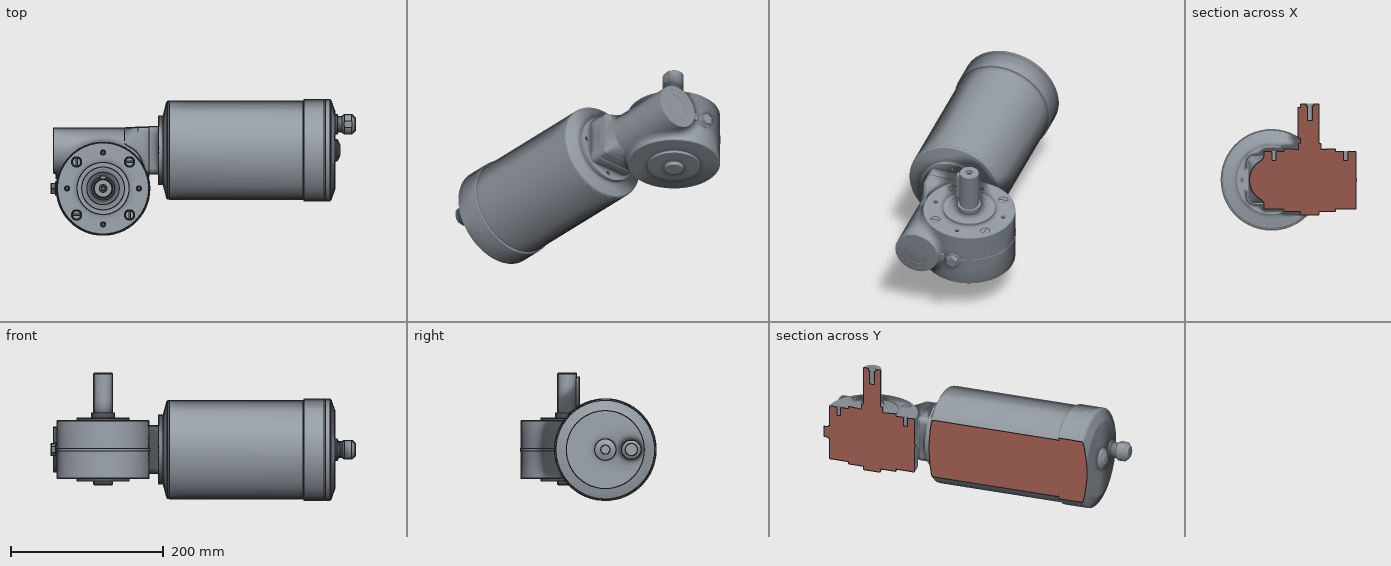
import cadquery as cq
import math

MOTOR_Y = 50.0

HOUSING_RADIUS = 60.4
HOUSING_TOP = 38.0
HOUSING_CHAMFER = 0.8
SEAM_RADIUS = 61.22
SEAM_HALF_HEIGHT = 1.75
REGISTER_RADIUS = 34.0
REGISTER_TOP = 41.2
RING_RADIUS = 28.0
SEAL_RADIUS = 42.5 / 2
RECESS_STEP = 0.5

SCREW_CIRCLE_RADIUS = 49.0
SCREW_RECESS_DIAMETER = 13.4
SCREW_HEAD_DIAMETER = 11.0
SCREW_RECESS_DEPTH = 2.5
SCREW_HEAD_DROP = 0.5
SCREW_SLOT_WIDTH = 2.0
SCREW_SLOT_DEPTH = 1.5
TAP_CIRCLE_RADIUS = 47.0
TAP_MOUTH_DIAMETER = 6.65
TAP_MOUTH_DEPTH = 1.0
TAP_DIAMETER = 4.92
TAP_DEPTH = 12.0

SHAFT_RADIUS = 25 / 2
SHAFT_TOP = 100.0
SHAFT_BOTTOM = -46.0
SHAFT_CHAMFER = 1.0
COLLAR_RADIUS = 15.0
COLLAR_TOP = 48.0
CENTRE_MOUTH_DIAMETER = 10.0
CENTRE_MOUTH_DEPTH = 3.0
CENTRE_PILOT_DIAMETER = 6.0
CENTRE_PILOT_DEPTH = 22.0
KEY_WIDTH = 8.0
KEY_BOTTOM = 55.0
KEY_LENGTH = 40.0
KEY_OUTER_Y = 16.0
KEY_ROOT_Y = 8.5

TUBE_START = -65.0
TUBE_RADIUS = 29.3
TUBE_FILLET = 8.0
PLUG_RADIUS = 24.0
PLUG_INNER_RADIUS = 17.0
NECK_LOFT_START = 28.0
NECK_BLOCK_START = 46.0
NECK_BLOCK_END = 60.0
NECK_WIDTH = 60.5
NECK_CORNER = 5.0
NECK_COLLAR_WIDTH = 62.5
NECK_COLLAR_CORNER = 7.5

FLANGE_START = 72.8
FLANGE_RADIUS = 45.0
FLANGE_HOLE_CIRCLE = 37.5
FLANGE_HOLE_DIAMETER = 6.5
BELL_START = 78.6
BELL_CONE_END = 83.3
BELL_CONE_RADIUS = 62.8
BODY_START = 84.8
BODY_SEAM = 87.0
BODY_RADIUS = 129 / 2
BODY_STEP = 0.4
CAP_START = 263.0
CAP_RADIUS = 66.5
CAP_GAP = 1.5
CAP_EDGE_START = 296.5
CAP_EDGE_END = 298.2
CAP_EDGE_RADIUS = 64.5
CAP_END = 303.0
CAP_END_RADIUS = 51.0
CAP_GROOVE_START = 288.6
CAP_GROOVE_WIDTH = 2.2
CAP_GROOVE_DEPTH = 0.3

GLAND_Y = 84.0
GLAND_BASE_RADIUS = 12.7
GLAND_BASE_END = 306.3
GLAND_NECK_RADIUS = 10.3
GLAND_NECK_END = 312.5
GLAND_NUT_RADIUS = 13.0
GLAND_NUT_START = 316.0
GLAND_NUT_SHOULDER = 325.0
GLAND_END = 330.0
GLAND_END_RADIUS = 8.0
GLAND_ACROSS_FLATS = 24.4
BUTTON_RADIUS = 14.0
BUTTON_RIM = 306.0
BUTTON_END = 310.0
BUTTON_END_RADIUS = 6.0

FILLER_HEAD_END = -68.0
FILLER_ROOT = -30.0
FILLER_ACROSS_FLATS = 13.4
FILLER_COLLAR_DIAMETER = 16.66
FILLER_COLLAR_START = -62.5
FILLER_WASHER_DIAMETER = 18.6
FILLER_WASHER_START = -61.5
RIB_HALF_HEIGHT = 4.5
RIB_START_X = -61.5
RIB_LOW_Y = 13.0
RIB_HIGH_Y = 22.0


def disc(radius, bottom, top):
    return cq.Workplane("XY", origin=(0, 0, bottom)).circle(radius).extrude(top - bottom)


def bar(radius, start, end, y=MOTOR_Y, z=0.0):
    return cq.Workplane("YZ", origin=(start, y, z)).circle(radius).extrude(end - start)


def turned(points, y):
    """Solid turned about the X-parallel axis at y, from (x, radius) points."""
    outline = [(points[0][0], 0)] + points + [(points[-1][0], 0)]
    profile = cq.Workplane("XY").polyline(outline).close()
    return profile.revolve(360, (0, 0, 0), (1, 0, 0)).translate((0, y, 0))


def on_circle(radius, first_angle):
    """Four equally spaced points on a circle."""
    angles = [math.radians(first_angle + 90 * i) for i in range(4)]
    return [(radius * math.cos(a), radius * math.sin(a)) for a in angles]


def make_housing():
    drum = disc(HOUSING_RADIUS, -HOUSING_TOP, HOUSING_TOP)
    clear = 2 * HOUSING_RADIUS
    body = drum.union(bar(TUBE_RADIUS, -clear, clear))
    blend = [edge for edge in body.edges().vals() if edge.geomType() not in ("CIRCLE", "LINE")]
    body = body.newObject(blend).fillet(TUBE_FILLET)
    body = body.faces("<Z or >Z").edges().chamfer(HOUSING_CHAMFER)
    length = NECK_BLOCK_END - TUBE_START
    keep = cq.Workplane("XY").box(length, 2 * clear, 2 * clear).translate((TUBE_START + length / 2, 0, 0))
    body = body.intersect(keep)

    seam = disc(SEAM_RADIUS, -SEAM_HALF_HEIGHT, SEAM_HALF_HEIGHT)
    registers = disc(REGISTER_RADIUS, -REGISTER_TOP, REGISTER_TOP)
    return body.union(seam).union(registers)


def cut_tube_end(body):
    """Sunk end plug with a second, smaller step inside it."""
    body = body.cut(bar(PLUG_RADIUS, TUBE_START, TUBE_START + RECESS_STEP))
    return body.cut(bar(PLUG_INNER_RADIUS, TUBE_START, TUBE_START + 2 * RECESS_STEP))


def cut_seal_recess(body):
    """Stepped seal seat in the top register."""
    body = body.cut(disc(RING_RADIUS, REGISTER_TOP - RECESS_STEP, REGISTER_TOP))
    return body.cut(disc(SEAL_RADIUS, REGISTER_TOP - 2 * RECESS_STEP, REGISTER_TOP))


def cut_cover_details(body):
    """Slotted cover screws and tapped mounting holes in the top face."""
    slot_bottom = HOUSING_TOP - SCREW_HEAD_DROP - SCREW_SLOT_DEPTH
    for index, (x, y) in enumerate(on_circle(SCREW_CIRCLE_RADIUS, 45)):
        gap = (cq.Workplane("XY", origin=(x, y, HOUSING_TOP)).circle(SCREW_RECESS_DIAMETER / 2)
               .circle(SCREW_HEAD_DIAMETER / 2).extrude(-SCREW_RECESS_DEPTH))
        drop = (cq.Workplane("XY", origin=(x, y, HOUSING_TOP)).circle(SCREW_HEAD_DIAMETER / 2)
                .extrude(-SCREW_HEAD_DROP))
        slot = (cq.Workplane("XY", origin=(x, y, slot_bottom)).transformed(rotate=(0, 0, 90 * index))
                .rect(SCREW_HEAD_DIAMETER, SCREW_SLOT_WIDTH).extrude(HOUSING_TOP - slot_bottom))
        body = body.cut(gap).cut(drop).cut(slot)

    top = cq.Workplane("XY", origin=(0, 0, HOUSING_TOP)).pushPoints(on_circle(TAP_CIRCLE_RADIUS, 0))
    body = body.cut(top.circle(TAP_MOUTH_DIAMETER / 2).extrude(-TAP_MOUTH_DEPTH))
    return body.cut(top.circle(TAP_DIAMETER / 2).extrude(-TAP_DEPTH))


def make_shaft():
    shaft = disc(SHAFT_RADIUS, SHAFT_BOTTOM, SHAFT_TOP).faces("<Z or >Z").edges().chamfer(SHAFT_CHAMFER)
    shaft = shaft.union(disc(COLLAR_RADIUS, 0, COLLAR_TOP))
    mouth = disc(CENTRE_MOUTH_DIAMETER / 2, SHAFT_TOP - CENTRE_MOUTH_DEPTH, SHAFT_TOP)
    pilot = disc(CENTRE_PILOT_DIAMETER / 2, SHAFT_TOP - CENTRE_PILOT_DEPTH, SHAFT_TOP)
    key = (cq.Workplane("XZ", origin=(0, KEY_OUTER_Y, KEY_BOTTOM + KEY_LENGTH / 2))
           .slot2D(KEY_LENGTH, KEY_WIDTH, 90).extrude(KEY_OUTER_Y - KEY_ROOT_Y))
    return shaft.cut(mouth).cut(pilot).union(key)


def rounded_square(width, corner):
    return cq.Sketch().rect(width, width).vertices().fillet(corner)


def make_neck():
    """Round tube blending into a rounded square block and a slightly wider collar."""
    square = rounded_square(NECK_WIDTH, NECK_CORNER)
    loft_end = cq.Location(cq.Vector(0, 0, NECK_BLOCK_START - NECK_LOFT_START))
    blend = (cq.Workplane("YZ", origin=(NECK_LOFT_START, MOTOR_Y, 0))
             .placeSketch(cq.Sketch().circle(TUBE_RADIUS), square.moved(loft_end)).loft())
    block = (cq.Workplane("YZ", origin=(NECK_BLOCK_START, MOTOR_Y, 0))
             .placeSketch(square).extrude(NECK_BLOCK_END - NECK_BLOCK_START))
    collar = (cq.Workplane("YZ", origin=(NECK_BLOCK_END, MOTOR_Y, 0))
              .placeSketch(rounded_square(NECK_COLLAR_WIDTH, NECK_COLLAR_CORNER))
              .extrude(FLANGE_START - NECK_BLOCK_END))
    return blend.union(block).union(collar)


def make_motor():
    motor = turned([
        (FLANGE_START, FLANGE_RADIUS),
        (BELL_START, FLANGE_RADIUS),
        (BELL_CONE_END, BELL_CONE_RADIUS),
        (BODY_START, BODY_RADIUS - BODY_STEP),
        (BODY_SEAM, BODY_RADIUS - BODY_STEP),
        (BODY_SEAM, BODY_RADIUS),
        (CAP_START - CAP_GAP, BODY_RADIUS),
        (CAP_START - CAP_GAP, BODY_RADIUS - BODY_STEP),
        (CAP_START, BODY_RADIUS - BODY_STEP),
        (CAP_START, CAP_RADIUS),
        (CAP_GROOVE_START, CAP_RADIUS),
        (CAP_GROOVE_START, CAP_RADIUS - CAP_GROOVE_DEPTH),
        (CAP_GROOVE_START + CAP_GROOVE_WIDTH, CAP_RADIUS - CAP_GROOVE_DEPTH),
        (CAP_GROOVE_START + CAP_GROOVE_WIDTH, CAP_RADIUS),
        (CAP_EDGE_START, CAP_RADIUS),
        (CAP_EDGE_END, CAP_EDGE_RADIUS),
        (CAP_END, CAP_END_RADIUS),
    ], MOTOR_Y)
    for y, z in on_circle(FLANGE_HOLE_CIRCLE, 0):
        motor = motor.cut(bar(FLANGE_HOLE_DIAMETER / 2, FLANGE_START, BELL_START, MOTOR_Y + y, z))
    return motor


def make_gland():
    gland = turned([
        (CAP_END, GLAND_BASE_RADIUS),
        (GLAND_BASE_END, GLAND_BASE_RADIUS),
        (GLAND_BASE_END, GLAND_NECK_RADIUS),
        (GLAND_NECK_END, GLAND_NECK_RADIUS),
        (GLAND_NUT_START, GLAND_NUT_RADIUS),
        (GLAND_NUT_SHOULDER, GLAND_NUT_RADIUS),
        (GLAND_END, GLAND_END_RADIUS),
    ], GLAND_Y)
    nut_length = GLAND_END - GLAND_NECK_END
    for side in (-1, 1):
        beyond_flat = (cq.Workplane("XY").box(nut_length, 2 * GLAND_NUT_RADIUS, GLAND_NUT_RADIUS)
                       .translate((GLAND_END - nut_length / 2, GLAND_Y,
                                   side * (GLAND_ACROSS_FLATS + GLAND_NUT_RADIUS) / 2)))
        gland = gland.cut(beyond_flat)
    return gland


def make_button():
    return turned([
        (CAP_END, BUTTON_RADIUS),
        (BUTTON_RIM, BUTTON_RADIUS),
        (BUTTON_END, BUTTON_END_RADIUS),
    ], MOTOR_Y)


def make_filler():
    """Hexagon-headed plug on a washer, with the small locating rib beside it."""
    corner_diameter = FILLER_ACROSS_FLATS / math.cos(math.pi / 6)
    head = (cq.Workplane("YZ", origin=(FILLER_HEAD_END, 0, 0)).transformed(rotate=(0, 0, 90))
            .polygon(6, corner_diameter).extrude(FILLER_ROOT - FILLER_HEAD_END))
    collar = bar(FILLER_COLLAR_DIAMETER / 2, FILLER_COLLAR_START, FILLER_ROOT, 0)
    washer = bar(FILLER_WASHER_DIAMETER / 2, FILLER_WASHER_START, FILLER_ROOT, 0)
    rib_length = FILLER_ROOT - RIB_START_X
    rib = (cq.Workplane("XY").box(rib_length, RIB_HIGH_Y - RIB_LOW_Y, 2 * RIB_HALF_HEIGHT)
           .translate((RIB_START_X + rib_length / 2, (RIB_LOW_Y + RIB_HIGH_Y) / 2, 0)))
    return head.union(collar).union(washer).union(rib)


housing = make_housing().union(make_neck())
housing = cut_tube_end(housing)
housing = cut_seal_recess(housing)
housing = cut_cover_details(housing)
result = housing.union(make_filler()).union(make_shaft())
result = result.union(make_motor()).union(make_gland()).union(make_button())